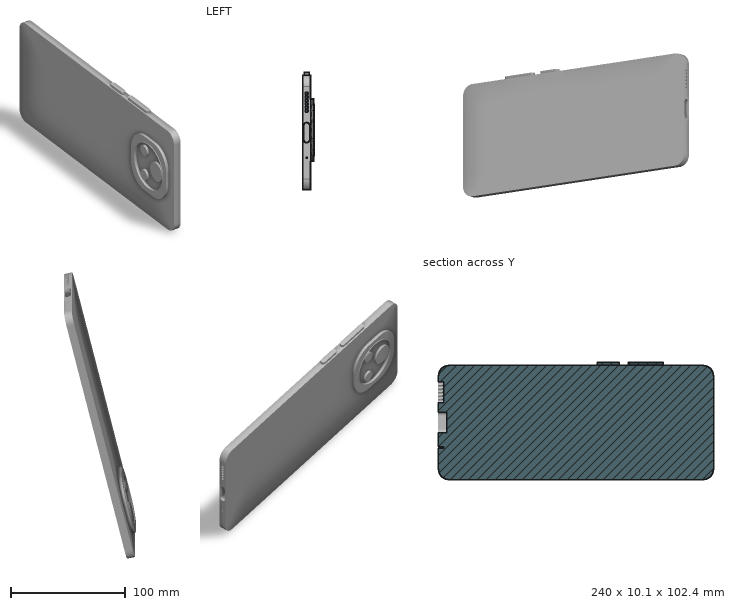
import cadquery as cq

length = 240
height = 99.8
thickness = 7.0
corner_radius = 9.5
back_y = -thickness / 2

island_size = 54.5
island_corner_radius = 20.2
island_height = 2.6
island_x = 84.5
island_z = 2.2
island_y = back_y - island_height

recess_radius = 21.8
lip_width = 0.7
lip_height = 0.5
recess_depth = 2.2
recess_floor_y = island_y + recess_depth

lens_height = recess_depth
main_lens_radius = 9.0
main_lens_offset = 11.3
small_lens_radius = 5.0
small_lens_offset_x = -7.7
small_lens_offset_z = 12.2

button_width = 4.5
button_height = 2.6
power_button_length = 19.5
power_button_x = 28.0
volume_button_length = 31.2
volume_button_x = 60.7

port_length = 17.5
port_width = 5.3
port_depth = 7.2
speaker_hole_count = 6
speaker_hole_diameter = 2.5
speaker_row_span = 15.0
speaker_hole_pitch = speaker_row_span / (speaker_hole_count - 1)
speaker_z = 26.5
microphone_diameter = 1.0
microphone_z = -21.8
sound_hole_depth = 4.8


def disc(x, z, start_y, radius, rise):
    """A cylinder that rises from start_y toward -Y."""
    return cq.Workplane("XZ", origin=(x, start_y, z)).circle(radius).extrude(rise)


def end_plane(z):
    """A plane on the -X end whose normal points into the housing; its local x runs along Z."""
    return cq.Workplane(cq.Plane(origin=(-length / 2, 0, z), xDir=(0, 0, 1), normal=(1, 0, 0)))


def make_slab():
    slab = cq.Workplane("XY").box(length, thickness, height)
    return slab.edges("|Y").fillet(corner_radius)


def make_island():
    plate = (
        cq.Workplane("XZ", origin=(island_x, back_y, island_z))
        .rect(island_size, island_size)
        .extrude(island_height)
        .edges("|Y")
        .fillet(island_corner_radius)
    )
    lip = disc(island_x, island_z, recess_floor_y, recess_radius + lip_width, recess_depth + lip_height)
    recess = disc(island_x, island_z, recess_floor_y, recess_radius, recess_depth + lip_height)
    return plate.union(lip).cut(recess)


def make_end_openings():
    openings = end_plane(0).slot2D(port_length, port_width).extrude(port_depth)
    speaker_holes = (
        end_plane(speaker_z)
        .rarray(speaker_hole_pitch, 2.5, speaker_hole_count, 1)
        .circle(speaker_hole_diameter / 2)
        .extrude(sound_hole_depth)
    )
    microphone = end_plane(microphone_z).circle(microphone_diameter / 2).extrude(sound_hole_depth)
    return openings.add(speaker_holes).add(microphone).combine()


def make_housing():
    return make_slab().union(make_island()).cut(make_end_openings())


def make_button(x, button_length):
    top_edge = cq.Workplane("XY", origin=(x, 0, height / 2))
    return top_edge.slot2D(button_length, button_width).extrude(button_height)


def make_lens(offset_x, offset_z, radius):
    return disc(island_x + offset_x, island_z + offset_z, recess_floor_y, radius, lens_height)


housing = make_housing()
power_button = make_button(power_button_x, power_button_length)
volume_button = make_button(volume_button_x, volume_button_length)
main_lens = make_lens(main_lens_offset, 0, main_lens_radius)
small_lenses = [
    make_lens(small_lens_offset_x, side * small_lens_offset_z, small_lens_radius)
    for side in (1, -1)
]

result = cq.Compound.makeCompound(
    [
        housing.val(),
        power_button.val(),
        volume_button.val(),
        main_lens.val(),
        *[lens.val() for lens in small_lenses],
    ]
)